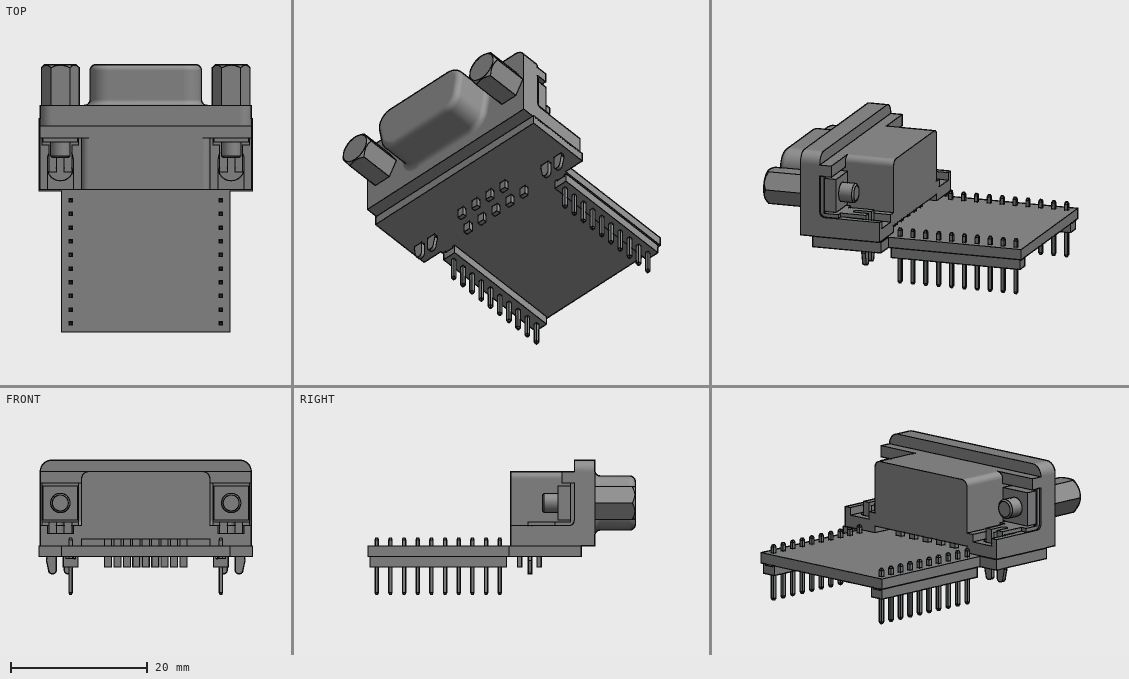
import cadquery as cq
import math


board_thickness = 1.57
board_wide_width = 31.24
board_narrow_width = 24.68
board_front_y = 10.34
board_step_y = -0.25
board_rear_y = -20.88

housing_width = 30.9
housing_front_y = 12.3
ledge_top_z = 10.85
flange_top_z = 12.55
flange_thickness = 3.0
flange_corner_radius = flange_top_z - ledge_top_z
block_width = 18.76
block_edge_radius = 1.0
axis_z = flange_top_z / 2

pocket_floor_z = 2.96
pocket_roof_z = 9.17
pocket_front_y = housing_front_y - flange_thickness
shelf_rear_y = 7.5
pocket_corner_radius = 0.8

groove_width = 3.8
groove_floor_z = 1.83
groove_end_center_y = 4.35
leg_hole_rear_center_y = 3.15

recess_height = 1.0
recess_depth = 5.5

shell_height = 7.95
shell_corner_radius = 2.6
shell_top_flat_half = 5.58
shell_side_angle = math.radians(10)
shell_length = 5.96
shell_tip_radius = 0.9
shell_root_radius = 0.8

contact_count = 9
contact_pitch = 1.378
contact_width = 1.05
contact_thickness = 0.65
contact_bottom_z = -3.1
contact_row_ys = (1.31, 4.15)

jackscrew_spacing = 25.0
hex_across_flats = 4.8
hex_length = shell_length
hex_tip_radius = 2.3
shank_radius = 1.42
shank_rear_y = 4.65
shank_chamfer = 0.25

sheet = 0.56
plate_width = 5.3
nut_width = 5.0
nut_thickness = 1.83
tab_wide_rear_y = 6.49
tab_rear_y = 2.54
tab_width = 3.38
slot_width = 1.13
slot_end_center_y = 4.5
leg_bulge_half = 2.05
leg_bulge_z = -2.13
leg_tip_half = 1.73
leg_tip_z = -3.53

pins_per_header = 10
header_pitch = 2.0
header_spacing = 22.0
header_width = 2.2
header_height = 1.55
header_center_y = -10.6
header_channel_width = 1.4
header_channel_depth = 0.28
pin_size = 0.5
pin_tip_size = 0.25
pin_tip_length = 0.3
pin_top_z = 1.18
pin_bottom_z = pin_top_z - 8.29


def block(x_range, y_range, z_range):
    """Box between the given coordinate limits."""
    (x0, x1), (y0, y1), (z0, z1) = x_range, y_range, z_range
    return cq.Workplane("XY").box(x1 - x0, y1 - y0, z1 - z0, centered=False).translate((x0, y0, z0))


def across(width, center=0.0):
    """Limits of a width about its centre."""
    return (center - width / 2, center + width / 2)


def y_cylinder(x, radius, y_range):
    """Cylinder along Y on a jackscrew axis."""
    y0, y1 = y_range
    return (
        cq.Workplane("XZ", origin=(x, y1, axis_z))
        .circle(radius)
        .extrude(y1 - y0)
    )


jackscrew_xs = across(jackscrew_spacing)


def make_flange():
    """Mating flange with two rounded upper corners."""
    y_range = (pocket_front_y, housing_front_y)
    flange = block(across(housing_width), y_range, (0, flange_top_z))
    return flange.edges("|Y and >Z").fillet(flange_corner_radius)


def make_pocket(side):
    """Open space beside the central block, with the overhanging shelf left above it."""
    x_range = sorted((side * block_width / 2, side * housing_width / 2))
    lower = block(x_range, (0, pocket_front_y), (pocket_floor_z, pocket_roof_z))
    lower = lower.edges("|X and >Y and <Z").fillet(pocket_corner_radius)
    upper = block(x_range, (0, shelf_rear_y), (pocket_floor_z, ledge_top_z))
    return lower.union(upper)


def make_obround(x, width, center_ys, z_range):
    """Upright round-ended slot along Y between two end centres."""
    z0, z1 = z_range
    slot = block(across(width, x), center_ys, z_range)
    for y in center_ys:
        end = cq.Workplane("XY", origin=(x, y, z0)).circle(width / 2).extrude(z1 - z0)
        slot = slot.union(end)
    return slot


def make_groove(x):
    """Round-ended groove in a pocket floor, and the leg hole from it down to the board."""
    groove = make_obround(
        x, groove_width, (0, groove_end_center_y), (groove_floor_z, pocket_floor_z)
    )
    leg_hole = make_obround(
        x, groove_width, (leg_hole_rear_center_y, groove_end_center_y), (0, pocket_floor_z)
    )
    return groove.union(leg_hole)


def make_shell():
    """D-shaped shell: four round corners joined by straight sides that slope inwards downwards."""
    r = shell_corner_radius
    top_z = axis_z + shell_height / 2
    bottom_z = axis_z - shell_height / 2
    upper_x = shell_top_flat_half
    upper_z = top_z - r
    lower_z = bottom_z + r
    lower_x = upper_x - (upper_z - lower_z) * math.tan(shell_side_angle)

    def corner(x, z, angle):
        return (x + r * math.cos(angle), z + r * math.sin(angle))

    side = -shell_side_angle
    upper_mid = (math.pi / 2 + side) / 2
    lower_mid = (side - math.pi / 2) / 2
    shell = (
        cq.Workplane("XZ", origin=(0, housing_front_y, 0))
        .moveTo(-upper_x, top_z)
        .lineTo(upper_x, top_z)
        .threePointArc(corner(upper_x, upper_z, upper_mid), corner(upper_x, upper_z, side))
        .lineTo(*corner(lower_x, lower_z, side))
        .threePointArc(corner(lower_x, lower_z, lower_mid), (lower_x, bottom_z))
        .lineTo(-lower_x, bottom_z)
        .threePointArc(
            corner(-lower_x, lower_z, math.pi - lower_mid),
            corner(-lower_x, lower_z, math.pi - side),
        )
        .lineTo(*corner(-upper_x, upper_z, math.pi - side))
        .threePointArc(corner(-upper_x, upper_z, math.pi - upper_mid), (-upper_x, top_z))
        .close()
        .extrude(-shell_length)
    )
    return shell.faces(">Y").edges().fillet(shell_tip_radius)


def make_contacts():
    """Solder tails of the nine contacts, staggered in two rows."""
    tails = cq.Workplane("XY")
    for i in range(contact_count):
        x = (i - (contact_count - 1) / 2) * contact_pitch
        y = contact_row_ys[i % 2]
        tail = block(
            across(contact_width, x),
            across(contact_thickness, y),
            (contact_bottom_z, recess_height),
        )
        tails = tails.add(tail)
    return tails


def make_housing(contacts):
    """Moulded body with flange, shell and contacts."""
    body = block(across(housing_width), (0, housing_front_y), (0, ledge_top_z))
    for side in (-1, 1):
        body = body.cut(make_pocket(side))
    block_top_edges = cq.selectors.BoxSelector(
        (-block_width, 0, ledge_top_z - block_edge_radius / 2),
        (block_width, shelf_rear_y, ledge_top_z + block_edge_radius / 2),
    )
    body = body.edges(block_top_edges).edges("|Y").fillet(block_edge_radius)
    body = body.union(make_flange()).union(make_shell())
    shell_root = cq.selectors.BoxSelector(
        (-block_width / 2, housing_front_y - shell_root_radius / 2, 0),
        (block_width / 2, housing_front_y + shell_root_radius / 2, ledge_top_z),
        boundingbox=True,
    )
    body = body.edges(shell_root).fillet(shell_root_radius)
    for x in jackscrew_xs:
        body = body.cut(make_groove(x))
        body = body.cut(y_cylinder(x, shank_radius, (0, housing_front_y)))
    body = body.cut(block(across(block_width), (0, recess_depth), (0, recess_height)))
    for tail in contacts.vals():
        body = body.union(cq.Workplane(tail))
    return body


def make_jackscrew(x):
    """Hexagonal standoff with a bevelled tip and a round shank through flange and bracket."""
    hex_tip_y = housing_front_y + hex_length
    hex_corner_radius = hex_across_flats / math.sqrt(3)
    hexagon = (
        cq.Workplane("XZ", origin=(x, housing_front_y, axis_z))
        .polygon(6, 2 * hex_corner_radius)
        .extrude(-hex_length)
    )
    bevel = hex_corner_radius - hex_tip_radius
    envelope = y_cylinder(x, hex_corner_radius, (housing_front_y, hex_tip_y)).faces(">Y").chamfer(bevel)
    shank = y_cylinder(x, shank_radius, (shank_rear_y, housing_front_y)).faces("<Y").chamfer(shank_chamfer)
    return hexagon.intersect(envelope).union(shank)


def make_leg(x, side):
    """Snap leg bent down from the tab: flared through the board, then tapered to a round tip."""
    inner = slot_width / 2
    tip_radius = (leg_tip_half - inner) / 2
    tip_center = inner + tip_radius
    return (
        cq.Workplane("XZ", origin=(x, tab_rear_y + sheet, 0))
        .moveTo(side * inner, pocket_floor_z + sheet)
        .lineTo(side * tab_width / 2, pocket_floor_z + sheet)
        .lineTo(side * tab_width / 2, 0)
        .lineTo(side * leg_bulge_half, leg_bulge_z)
        .lineTo(side * leg_tip_half, leg_tip_z)
        .threePointArc((side * tip_center, leg_tip_z - tip_radius), (side * inner, leg_tip_z))
        .close()
        .extrude(sheet)
    )


def make_bracket(x):
    """Bent sheet bracket with a square nut and a forked, two-legged tab."""
    plate_x = across(plate_width, x)
    tab_top_z = pocket_floor_z + sheet
    plate_rear_y = pocket_front_y - sheet
    elbow = block(plate_x, (tab_wide_rear_y, pocket_front_y), (pocket_floor_z, pocket_roof_z))
    elbow = elbow.edges("|X and >Y and <Z").fillet(pocket_corner_radius)
    elbow = elbow.cut(block(plate_x, (tab_wide_rear_y, plate_rear_y), (tab_top_z, pocket_roof_z)))
    tab = block(across(tab_width, x), (tab_rear_y, tab_wide_rear_y), (pocket_floor_z, tab_top_z))
    slot = make_obround(x, slot_width, (tab_rear_y, slot_end_center_y), (pocket_floor_z, tab_top_z))
    nut = block(
        across(nut_width, x),
        (plate_rear_y - nut_thickness, plate_rear_y),
        across(nut_width, axis_z),
    )
    bracket = elbow.union(tab).cut(slot).union(nut)
    for side in (-1, 1):
        bracket = bracket.union(make_leg(x, side))
    return bracket.cut(y_cylinder(x, shank_radius, (0, housing_front_y)))


def make_pin(x, y):
    """Square pin tapered at both ends."""
    pin = block(
        across(pin_size, x),
        across(pin_size, y),
        (pin_bottom_z + pin_tip_length, pin_top_z - pin_tip_length),
    )
    for face in (">Z", "<Z"):
        tip = (
            pin.faces(face).workplane(centerOption="CenterOfMass")
            .rect(pin_size, pin_size)
            .workplane(offset=pin_tip_length)
            .rect(pin_tip_size, pin_tip_size)
            .loft(combine=False)
        )
        pin = pin.union(tip)
    return pin


def make_header(x):
    """Header strip with a shallow channel along its top and a row of pins."""
    top_z = -board_thickness
    y_range = across(pins_per_header * header_pitch, header_center_y)
    header = block(across(header_width, x), y_range, (top_z - header_height, top_z))
    header = header.cut(block(
        across(header_channel_width, x), y_range, (top_z - header_channel_depth, top_z)
    ))
    for i in range(pins_per_header):
        y = header_center_y + (i - (pins_per_header - 1) / 2) * header_pitch
        header = header.union(make_pin(x, y))
    return header


def make_board(parts_through_board):
    """T-shaped board with closely fitting holes for everything that passes through it."""
    z_range = (-board_thickness, 0)
    board = block(across(board_wide_width), (board_step_y, board_front_y), z_range)
    board = board.union(block(across(board_narrow_width), (board_rear_y, board_step_y), z_range))
    for part in parts_through_board:
        board = board.cut(part)
    return board


contacts = make_contacts()
housing = make_housing(contacts)
jackscrews = [make_jackscrew(x) for x in jackscrew_xs]
brackets = [make_bracket(x) for x in jackscrew_xs]
headers = [make_header(x) for x in across(header_spacing)]
board = make_board([housing, *brackets, *headers])

bodies = [board, housing, *jackscrews, *brackets, *headers]
result = cq.Compound.makeCompound([body.solids().val() for body in bodies])